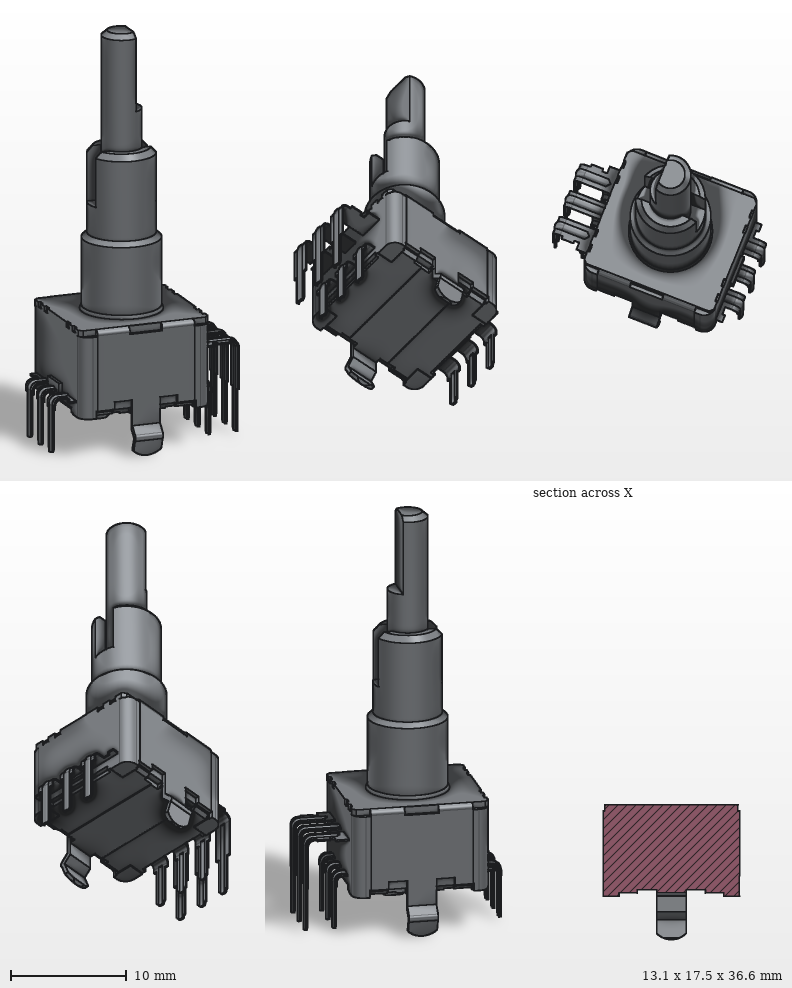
import cadquery as cq
import math


TOTAL_HEIGHT = 36.65

HOUSING_X = 11.6
HOUSING_Y = 12.05
HOUSING_TOP = 7.9
POST_TOP = 7.35
POST_RADIUS = 1.03
POST_Y = 4.5
COVER_X = 10.7
COVER_CHAMFER = 0.33
BEND_RADIUS = 0.45
BEND_GAP_X = 5.42
BEND_GAP_Y = 1.5
BEND_GAP_Z = 7.25

SHEET = 0.35
SHEET_INSET = 0.05
SHEET_BOTTOM = 0.65
POST_FOOT_Y = 4.6
CORE_BEVEL = 0.33
SHEET_NOTCH_Y = 2.95
SHEET_NOTCH_TOP = 1.32
SILL_Z = 0.55
SIDE_SETBACK = 0.55
FRONT_SETBACK = 0.35
FRONT_SETBACK_X = 3.37
FOOT_HEIGHT = 0.1
FOOT_X = 3.75
FOOT_Y = 2.13

EDGE_NOTCH_X = (2.53, 3.95)
EDGE_NOTCH_WIDTH = 0.65
EDGE_NOTCH_DEPTH = 0.2
EDGE_NOTCH_HEIGHT = 0.45

COLLAR_RADIUS = 3.63
COLLAR_HEIGHT = 0.33
BUSHING_RADIUS = 3.5
BUSHING_TOP = 14.77
BUSHING_CHAMFER = 0.45
OUTER_RADIUS = 3.0
OUTER_TOP = 22.45
OUTER_CHAMFER_R = 0.48
OUTER_CHAMFER_Z = 0.55
SLOT_WIDTH = 2.1
SLOT_FLOOR = 17.52
BORE_RADIUS = 1.85
INNER_RADIUS = 1.75
INNER_TOP = 32.9
INNER_CHAMFER_R = 0.5
INNER_CHAMFER_Z = 0.45
FLAT_Y = 0.75
FLAT_BOTTOM = 25.9

CLIP_WIDTH = 2.55
CLIP_SPAN = 13.1
CLIP_STRAIGHT_END = -1.0
CLIP_INNER_KINK = -1.32
ELBOW_X = 6.4
ELBOW_Z = -1.95
ELBOW_HALF_HEIGHT = 0.3
ELBOW_INNER = (6.12, -2.0)
CLIP_TIP = INNER_TOP - TOTAL_HEIGHT
CLIP_TIP_OUTER_X = 5.9
CLIP_TIP_INNER = (5.55, -3.6)
CLIP_TIP_RISE = 0.55

PITCH = 2.5
PIN_THICK = 0.15
PIN_WIDTH = 1.58
MIDDLE_PIN_WIDTH = 1.45
PIN_BEND = 0.65
LEG_WIDTH = 0.95
LEG_BOTTOM = -3.52
LEG_TAPER = 0.3
LEG_TIP_WIDTH = 0.5
SHOULDER_Z = 0.4
RIB_WIDTH = 0.7
RIB_HEIGHT = 0.1
RIB_POINT = 0.3
GROOVE_WIDTH = 0.45
GROOVE_DEPTH = 0.1
ROOT_DEPTH = 0.35
ROOT_Y = HOUSING_Y / 2 - ROOT_DEPTH
LOWER_Z = 1.43
UPPER_Z = 4.85
FRONT_REACH = 7.6
REAR_REACH = 7.1
UPPER_REACH = 9.65
UPPER_RIB_START = 6.55
FRONT_WING_X = 4.6
FRONT_WING_Y = 6.38
FRONT_WING_TIP_X = 3.95
FRONT_WING_TIP_Y = 6.65
REAR_WING_X = 3.92
REAR_WING_Y = 7.2
REAR_LUG_X = 3.52
REAR_LUG_Y = 8.72
REAR_NECK_X = 3.25
REAR_NECK_Y = 7.62
TAB_WIDTH = 2.55
TAB_DEPTH = 0.3
TAB_BOTTOM = 1.0
TAB_TOP = 2.13


def block(x0, x1, y0, y1, z0, z1):
    """Box between two opposite corners."""
    return cq.Workplane("XY").box(x1 - x0, y1 - y0, z1 - z0, centered=False).translate((x0, y0, z0))


def four_ways(shape):
    """Repeat a shape in all four quadrants."""
    half = shape.union(shape.mirror("XZ"))
    return half.union(half.mirror("YZ"))


def make_housing():
    """Block with rounded corner posts, topped by a cover folded down over both sides."""
    half_x = HOUSING_X / 2
    body = cq.Workplane("XY").rect(HOUSING_X, HOUSING_Y).extrude(POST_TOP).edges("|Z").fillet(POST_RADIUS)
    cover = (
        cq.Workplane("XY", origin=(0, 0, POST_TOP))
        .rect(COVER_X, HOUSING_Y)
        .extrude(HOUSING_TOP - POST_TOP)
        .edges("|Z")
        .chamfer(COVER_CHAMFER)
    )
    sheet_x = half_x - SHEET_INSET
    sides = block(-half_x, half_x, -POST_Y, POST_Y, 0, POST_TOP)
    sides = sides.cut(block(-sheet_x, sheet_x, -POST_Y, POST_Y, 0, POST_TOP))
    folds = (
        block(-sheet_x, sheet_x, -POST_Y, POST_Y, POST_TOP - BEND_RADIUS, HOUSING_TOP)
        .edges("|Y and >Z")
        .fillet(BEND_RADIUS)
    )
    return body.union(cover).cut(sides).union(folds)


def housing_cuts():
    """Notches of the cover and sheets and the relief of the underside, in all four quadrants."""
    half_x = HOUSING_X / 2
    half_y = HOUSING_Y / 2
    sheet_x = half_x - SHEET
    clip_y = CLIP_WIDTH / 2
    cuts = block(BEND_GAP_X, half_x, 0, BEND_GAP_Y, BEND_GAP_Z, HOUSING_TOP)
    cuts = cuts.union(block(sheet_x, half_x, clip_y, POST_FOOT_Y, 0, SHEET_BOTTOM))
    cuts = cuts.union(block(sheet_x, half_x, clip_y, SHEET_NOTCH_Y, 0, SHEET_NOTCH_TOP))
    bevel = (
        cq.Workplane("XZ")
        .polyline([
            (sheet_x, FOOT_HEIGHT),
            (sheet_x, FOOT_HEIGHT + CORE_BEVEL),
            (sheet_x - CORE_BEVEL, FOOT_HEIGHT),
        ])
        .close()
        .extrude(-POST_Y)
    )
    cuts = cuts.union(bevel)
    cuts = cuts.union(block(sheet_x - SIDE_SETBACK, half_x, clip_y, SHEET_NOTCH_Y, 0, SILL_Z))
    cuts = cuts.union(block(0, FRONT_SETBACK_X, half_y - FRONT_SETBACK, half_y, 0, SILL_Z))
    cuts = cuts.union(block(0, half_x, FOOT_Y, POST_Y, 0, FOOT_HEIGHT))
    cuts = cuts.union(block(0, FOOT_X, POST_Y, half_y, 0, FOOT_HEIGHT))
    for x in EDGE_NOTCH_X:
        x0 = x - EDGE_NOTCH_WIDTH / 2
        cuts = cuts.union(
            block(
                x0, x0 + EDGE_NOTCH_WIDTH, half_y - EDGE_NOTCH_DEPTH, half_y,
                HOUSING_TOP - EDGE_NOTCH_HEIGHT, HOUSING_TOP,
            )
        )
    return four_ways(cuts)


def make_shafts():
    """Bushing and slotted outer shaft around a flatted inner shaft."""
    bushing = [
        (0, HOUSING_TOP),
        (COLLAR_RADIUS, HOUSING_TOP),
        (BUSHING_RADIUS, HOUSING_TOP + COLLAR_HEIGHT),
        (BUSHING_RADIUS, BUSHING_TOP - BUSHING_CHAMFER),
        (OUTER_RADIUS, BUSHING_TOP),
        (OUTER_RADIUS, OUTER_TOP - OUTER_CHAMFER_Z),
        (OUTER_RADIUS - OUTER_CHAMFER_R, OUTER_TOP),
        (0, OUTER_TOP),
    ]
    inner = [
        (0, SLOT_FLOOR),
        (INNER_RADIUS, SLOT_FLOOR),
        (INNER_RADIUS, INNER_TOP - INNER_CHAMFER_Z),
        (INNER_RADIUS - INNER_CHAMFER_R, INNER_TOP),
        (0, INNER_TOP),
    ]
    outer_shaft = cq.Workplane("XZ").polyline(bushing).close().revolve(360, (0, 0), (0, 1))
    inner_shaft = cq.Workplane("XZ").polyline(inner).close().revolve(360, (0, 0), (0, 1))
    slot = block(-SLOT_WIDTH / 2, SLOT_WIDTH / 2, -OUTER_RADIUS, OUTER_RADIUS, SLOT_FLOOR, OUTER_TOP)
    bore = cq.Workplane("XY", origin=(0, 0, SLOT_FLOOR)).circle(BORE_RADIUS).extrude(OUTER_TOP - SLOT_FLOOR)
    flat = block(-INNER_RADIUS, INNER_RADIUS, FLAT_Y, INNER_RADIUS, FLAT_BOTTOM, INNER_TOP)
    return outer_shaft.cut(slot).cut(bore).union(inner_shaft.cut(flat))


def make_clip():
    """Snap-in leg on the +X side with a rounded tip."""
    outer_x = HOUSING_X / 2 - SHEET_INSET
    inner_x = HOUSING_X / 2 - SHEET
    half = CLIP_WIDTH / 2
    leg = (
        cq.Workplane("XZ", origin=(0, half, 0))
        .moveTo(inner_x, SHEET_NOTCH_TOP)
        .lineTo(outer_x, SHEET_NOTCH_TOP)
        .lineTo(outer_x, CLIP_STRAIGHT_END)
        .lineTo(ELBOW_X, ELBOW_Z + ELBOW_HALF_HEIGHT)
        .threePointArc((CLIP_SPAN / 2, ELBOW_Z), (ELBOW_X, ELBOW_Z - ELBOW_HALF_HEIGHT))
        .lineTo(CLIP_TIP_OUTER_X, CLIP_TIP)
        .lineTo(*CLIP_TIP_INNER)
        .lineTo(*ELBOW_INNER)
        .lineTo(inner_x, CLIP_INNER_KINK)
        .close()
        .extrude(CLIP_WIDTH)
    )
    outline = (
        cq.Workplane("YZ")
        .moveTo(-half, SHEET_NOTCH_TOP)
        .lineTo(-half, CLIP_TIP + CLIP_TIP_RISE)
        .threePointArc((0, CLIP_TIP), (half, CLIP_TIP + CLIP_TIP_RISE))
        .lineTo(half, SHEET_NOTCH_TOP)
        .close()
        .extrude(2 * outer_x)
    )
    return leg.intersect(outline)


def bent_path(start, reach, top):
    """Outer face of a terminal: outward at height top, round the bend and down the leg."""
    diagonal = PIN_BEND * math.sqrt(0.5)
    bend_y = reach - PIN_BEND
    bend_z = top - PIN_BEND
    return (
        cq.Workplane("YZ")
        .moveTo(start, top)
        .lineTo(bend_y, top)
        .threePointArc((bend_y + diagonal, bend_z + diagonal), (reach, bend_z))
        .lineTo(reach, LEG_BOTTOM)
    )


def rib_section(start, top):
    """Arched cross-section of the rib, rooted inside the strip."""
    half = RIB_WIDTH / 2
    return (
        cq.Workplane("XZ", origin=(0, start, top))
        .moveTo(-half, -PIN_THICK / 2)
        .lineTo(-half, 0)
        .threePointArc((0, RIB_HEIGHT), (half, 0))
        .lineTo(half, -PIN_THICK / 2)
        .close()
    )


def make_groove(reach, top):
    """Hollow of the rib along the inner face of the leg."""
    half = GROOVE_WIDTH / 2
    inner_y = reach - PIN_THICK
    return (
        cq.Workplane("XY", origin=(0, 0, LEG_BOTTOM))
        .moveTo(-half, inner_y)
        .threePointArc((0, inner_y + GROOVE_DEPTH), (half, inner_y))
        .close()
        .extrude(top - PIN_BEND - LEG_BOTTOM)
    )


def make_terminal(x, reach, top, rib_start):
    """Right-angle terminal leaving the housing toward +Y, embossed with a stiffening rib."""
    pin_width = PIN_WIDTH if x else MIDDLE_PIN_WIDTH
    half_width = pin_width / 2
    half_leg = LEG_WIDTH / 2
    half_rib = RIB_WIDTH / 2
    crest = top + RIB_HEIGHT
    strip_path = bent_path(ROOT_Y, reach, top)
    strip = (
        cq.Workplane("XZ", origin=(0, ROOT_Y, top - PIN_THICK / 2))
        .rect(pin_width, PIN_THICK)
        .sweep(strip_path)
    )
    rib_path = bent_path(rib_start, reach, top)
    rib = rib_section(rib_start, top).sweep(rib_path)
    rib_plan = [
        (0, rib_start),
        (half_rib, rib_start + RIB_POINT),
        (half_rib, reach + PIN_BEND),
        (-half_rib, reach + PIN_BEND),
        (-half_rib, rib_start + RIB_POINT),
    ]
    height = crest - LEG_BOTTOM
    plan_origin = (0, 0, LEG_BOTTOM)
    rib = rib.intersect(cq.Workplane("XY", origin=plan_origin).polyline(rib_plan).close().extrude(height))
    groove = make_groove(reach, top)
    leg_outline = [
        (half_width, crest),
        (half_width, SHOULDER_Z),
        (half_leg, SHOULDER_Z),
        (half_leg, LEG_BOTTOM + LEG_TAPER),
        (LEG_TIP_WIDTH / 2, LEG_BOTTOM),
    ]
    leg_outline += [(-px, pz) for px, pz in reversed(leg_outline)]
    silhouette = cq.Workplane("XZ").polyline(leg_outline).close().extrude(-2 * reach)
    return strip.union(rib).cut(groove).intersect(silhouette).translate((x, 0, 0))


def plate(x0, x1, y1, top):
    """Flat terminal stock on the +X side and its mirror image."""
    right = block(x0, x1, ROOT_Y, y1, top - PIN_THICK, top)
    return right.union(right.mirror("YZ"))


def make_front_terminals():
    inner_x = PITCH - PIN_WIDTH / 2
    group = plate(inner_x, FRONT_WING_X, FRONT_WING_Y, LOWER_Z)
    group = group.union(plate(FRONT_WING_TIP_X, FRONT_WING_X, FRONT_WING_TIP_Y, LOWER_Z))
    for x in (-PITCH, 0, PITCH):
        group = group.union(make_terminal(x, FRONT_REACH, LOWER_Z, ROOT_Y))
    tab = block(-TAB_WIDTH / 2, TAB_WIDTH / 2, ROOT_Y, HOUSING_Y / 2 + TAB_DEPTH, TAB_BOTTOM, TAB_TOP)
    return group.union(tab).mirror("XZ")


def make_rear_terminals():
    inner_x = PITCH - PIN_WIDTH / 2
    group = plate(inner_x, REAR_WING_X, REAR_WING_Y, UPPER_Z)
    lug = plate(inner_x, REAR_LUG_X, REAR_LUG_Y, UPPER_Z)
    lug = lug.cut(plate(REAR_NECK_X, REAR_LUG_X, REAR_NECK_Y, UPPER_Z))
    group = lug.union(group)
    for x in (-PITCH, 0, PITCH):
        group = group.union(make_terminal(x, UPPER_REACH, UPPER_Z, UPPER_RIB_START if x else ROOT_Y))
        group = group.union(make_terminal(x, REAR_REACH, LOWER_Z, ROOT_Y))
    return group


clip = make_clip()
result = (
    make_housing()
    .cut(housing_cuts())
    .union(make_shafts())
    .union(clip)
    .union(clip.mirror("YZ"))
    .union(make_front_terminals())
    .union(make_rear_terminals())
)